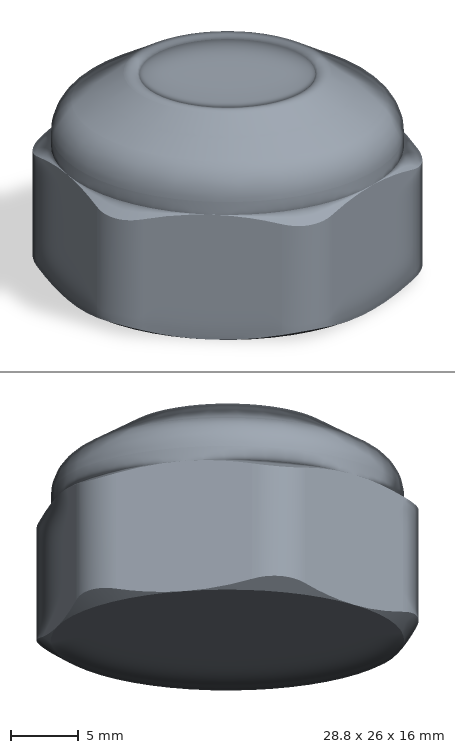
import cadquery as cq
import math

ACROSS_CORNERS = 28.77
ACROSS_FLATS = 26.0
TOTAL_HEIGHT = 16.0
HEX_HEIGHT = 10.0
SLOPE_ANGLE = 30.0
SHOULDER_RADIUS = 3.0
LIP_RADIUS = 1.0
LIP_OUTER_RADIUS = 7.65
PLUG_RADIUS = 6.47

SLOPE_SIN = math.sin(math.radians(SLOPE_ANGLE))
SLOPE_COS = math.cos(math.radians(SLOPE_ANGLE))
SLOPE_TAN = math.tan(math.radians(SLOPE_ANGLE))
BODY_RADIUS = ACROSS_FLATS / 2
CORNER_RADIUS = ACROSS_CORNERS / 2
CORNER_RATIO = 1 / math.cos(math.pi / 6)
SHARP_CORNER_RADIUS = BODY_RADIUS * CORNER_RATIO
CORNER_FILLET = (SHARP_CORNER_RADIUS - CORNER_RADIUS) / (CORNER_RATIO - 1)

LIP_CENTRE_R = LIP_OUTER_RADIUS - LIP_RADIUS * SLOPE_SIN
LIP_CENTRE_Z = TOTAL_HEIGHT - LIP_RADIUS
LIP_OUTER_Z = LIP_CENTRE_Z + LIP_RADIUS * SLOPE_COS
PLUG_HEIGHT = LIP_CENTRE_Z + math.sqrt(LIP_RADIUS**2 - (LIP_CENTRE_R - PLUG_RADIUS)**2)

SHOULDER_CENTRE_R = BODY_RADIUS - SHOULDER_RADIUS
CONE_BASE_R = SHOULDER_CENTRE_R + SHOULDER_RADIUS * SLOPE_SIN
CONE_BASE_Z = LIP_OUTER_Z - (CONE_BASE_R - LIP_OUTER_RADIUS) * SLOPE_TAN
SHOULDER_CENTRE_Z = CONE_BASE_Z - SHOULDER_RADIUS * SLOPE_COS


def make_hexagon():
    """Hexagonal prism with rounded corners, its ends chamfered by a cone."""
    prism = (
        cq.Workplane("XY")
        .polygon(6, 2 * SHARP_CORNER_RADIUS)
        .extrude(HEX_HEIGHT)
        .edges("|Z")
        .fillet(CORNER_FILLET)
    )
    envelope_radius = SHARP_CORNER_RADIUS
    chamfer_height = (envelope_radius - BODY_RADIUS) * SLOPE_TAN
    envelope = (
        cq.Workplane("XZ")
        .moveTo(0, 0)
        .lineTo(BODY_RADIUS, 0)
        .lineTo(envelope_radius, chamfer_height)
        .lineTo(envelope_radius, HEX_HEIGHT - chamfer_height)
        .lineTo(BODY_RADIUS, HEX_HEIGHT)
        .lineTo(0, HEX_HEIGHT)
        .close()
        .revolve(360, (0, 0, 0), (0, 1, 0))
    )
    return prism.intersect(envelope)


def make_dome():
    """Ring-shaped dome with a rounded shoulder, a cone and a rounded lip."""
    half_slope = math.radians(SLOPE_ANGLE / 2)
    shoulder_mid_angle = math.radians((90 - SLOPE_ANGLE) / 2)
    shoulder_mid = (
        SHOULDER_CENTRE_R + SHOULDER_RADIUS * math.cos(shoulder_mid_angle),
        SHOULDER_CENTRE_Z + SHOULDER_RADIUS * math.sin(shoulder_mid_angle),
    )
    lip_mid = (
        LIP_CENTRE_R + LIP_RADIUS * math.sin(half_slope),
        LIP_CENTRE_Z + LIP_RADIUS * math.cos(half_slope),
    )
    return (
        cq.Workplane("XZ")
        .moveTo(PLUG_RADIUS, HEX_HEIGHT)
        .lineTo(BODY_RADIUS, HEX_HEIGHT)
        .lineTo(BODY_RADIUS, SHOULDER_CENTRE_Z)
        .threePointArc(shoulder_mid, (CONE_BASE_R, CONE_BASE_Z))
        .lineTo(LIP_OUTER_RADIUS, LIP_OUTER_Z)
        .threePointArc(lip_mid, (PLUG_RADIUS, PLUG_HEIGHT))
        .close()
        .revolve(360, (0, 0, 0), (0, 1, 0))
    )


def make_nut():
    """Hexagon and dome as one piece, with a straight bore for the plug."""
    bore = cq.Workplane("XY").circle(PLUG_RADIUS).extrude(TOTAL_HEIGHT)
    return make_hexagon().union(make_dome()).cut(bore)


def make_plug():
    """Round plug filling the bore up to the inner edge of the lip."""
    return cq.Workplane("XY").circle(PLUG_RADIUS).extrude(PLUG_HEIGHT)


nut = make_nut()
plug = make_plug()
result = cq.Compound.makeCompound([nut.solids().val(), plug.val()])